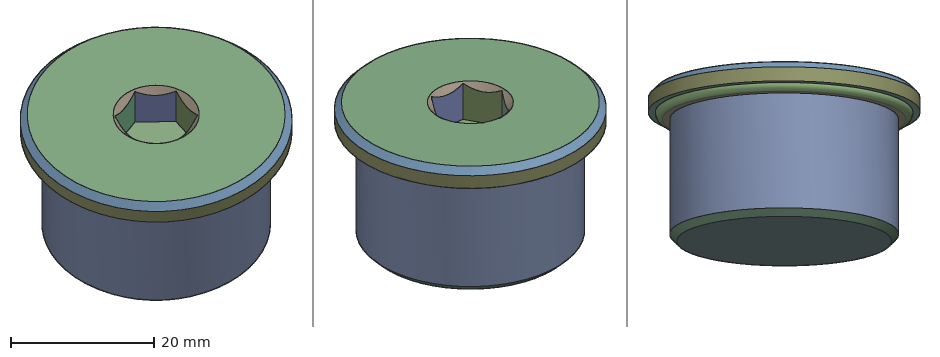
import cadquery as cq
import math

flange_diameter = 38.0
body_diameter = 32.0
total_height = 21.5
edge_chamfer = 1.0

flange_height = 3.0
seal_diameter = 36.02
seal_height = 1.03
seal_round = 1.0

hex_across_flats = 10.0
hex_depth = 6.0
countersink_diameter = 12.0
countersink_angle = 90.0

flange_bottom = total_height - flange_height
seal_bottom = flange_bottom - seal_height


def disc(diameter, bottom, height):
    """Upright cylinder centred on the Z axis."""
    return cq.Workplane("XY").workplane(offset=bottom).circle(diameter / 2).extrude(height)


def hex_socket():
    """Blind hexagonal hole with corners on the Y axis and a conical lead-in."""
    across_corners = hex_across_flats / math.cos(math.pi / 6)
    hexagon = (
        cq.Workplane("XY")
        .workplane(offset=total_height - hex_depth)
        .transformed(rotate=(0, 0, 90))
        .polygon(6, across_corners)
        .extrude(hex_depth)
    )
    radius = countersink_diameter / 2
    cone_depth = radius / math.tan(math.radians(countersink_angle / 2))
    cone = (
        cq.Workplane("XZ")
        .moveTo(0, total_height)
        .lineTo(radius, total_height)
        .lineTo(0, total_height - cone_depth)
        .close()
        .revolve(360, (0, 0, 0), (0, 1, 0))
    )
    return hexagon.union(cone)


body = disc(body_diameter, 0, total_height).faces("<Z").chamfer(edge_chamfer)
seal = disc(seal_diameter, seal_bottom, seal_height).faces("<Z").edges().fillet(seal_round)
flange = disc(flange_diameter, flange_bottom, flange_height).faces(">Z").chamfer(edge_chamfer)

result = body.union(seal).union(flange).cut(hex_socket())